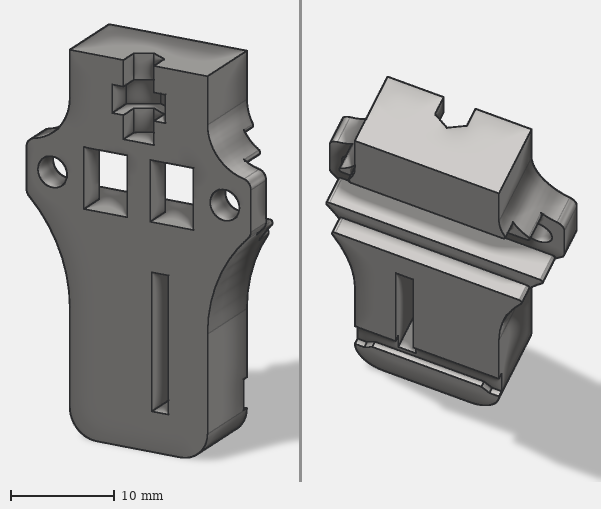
import cadquery as cq
import math

THICKNESS = 8.0
HEIGHT = 40.0
BODY_HALF_WIDTH = 7.6
EAR_HALF_WIDTH = 24.75 / 2
BOTTOM_CORNER_RADIUS = 3.0

UPPER_ARC_RADIUS = 5.0
UPPER_ARC_START_Z = 35.0
LOWER_ARC_RADIUS = 15.0
LOWER_ARC_START_Z = 13.35
EAR_CORNER_RADIUS = 1.0

SCREW_Z = 27.0
SCREW_X = 9.5
SCREW_DIAMETER = 3.2

CHANNEL_HEIGHT = 6.4
CHANNEL_FRONT_Y = 3.1
RECESS_HEIGHT = 10.15
RECESS_FRONT_Y = 6.15
CHANNEL_EDGE_RADIUS = 0.32

WINDOW_WIDTH = 4.75
WINDOW_GAP = 2.55

GROOVE_DEPTH = 0.65
GROOVE_TOP_Z = 6.2
GROOVE_BOTTOM_Z = 3.6
GROOVE_END_BOTTOM_Z = 3.0
GROOVE_END_LENGTH = 1.0
GROOVE_RAMP_LENGTH = 0.85

SLOT_CENTRE_X = 2.37
SLOT_WIDTH = 1.85
SLOT_BOTTOM_Z = 4.2
SLOT_TOP_Z = 18.6

BOLT_AXIS_Y = 1.15
BOLT_WIDTH = 3.35
BOLT_BOTTOM_Z = 31.8
NUT_WIDTH = 5.85
NUT_BOTTOM_Z = 34.3
NUT_TOP_Z = 37.25


def through_block(x_center, width, z_min, z_max, front_y=0):
    """Block from front_y to the back face."""
    size = (width, THICKNESS - front_y, z_max - z_min)
    block = cq.Workplane("XY").box(*size, centered=(True, False, False))
    return block.translate((x_center, front_y, z_min))


def arc_point(x, radius, start_z, direction):
    """Point at x on the arc tangent to the body side at start_z, heading up (+1) or down (-1)."""
    distance_to_center = BODY_HALF_WIDTH + radius - x
    return (x, start_z + direction * math.sqrt(radius**2 - distance_to_center**2))


def make_body():
    """Right half of the outline, rounded at the ear and bottom corners, then mirrored."""
    mid_x = (BODY_HALF_WIDTH + EAR_HALF_WIDTH) / 2
    lower = (LOWER_ARC_RADIUS, LOWER_ARC_START_Z, 1)
    upper = (UPPER_ARC_RADIUS, UPPER_ARC_START_Z, -1)
    half = (
        cq.Workplane("XZ")
        .lineTo(BODY_HALF_WIDTH, 0)
        .lineTo(BODY_HALF_WIDTH, LOWER_ARC_START_Z)
        .threePointArc(arc_point(mid_x, *lower), arc_point(EAR_HALF_WIDTH, *lower))
        .lineTo(*arc_point(EAR_HALF_WIDTH, *upper))
        .threePointArc(arc_point(mid_x, *upper), (BODY_HALF_WIDTH, UPPER_ARC_START_Z))
        .lineTo(BODY_HALF_WIDTH, HEIGHT)
        .lineTo(0, HEIGHT)
        .close()
        .extrude(-THICKNESS)
    )
    half = half.faces(">X").edges("|Y").fillet(EAR_CORNER_RADIUS)
    half = half.faces("<Z").edges("|Y and >X").fillet(BOTTOM_CORNER_RADIUS)
    return half.union(half.mirror("YZ"))


def cut_back_channel(body, height, front_y):
    """Cut a full-width channel behind front_y and round the edges where it leaves the sides."""
    z_min = SCREW_Z - height / 2
    z_max = SCREW_Z + height / 2
    body = body.cut(through_block(0, 2 * EAR_HALF_WIDTH, z_min, z_max, front_y))
    margin = 0.01
    for z in (z_min, z_max):
        edge_region = cq.selectors.BoxSelector(
            (-EAR_HALF_WIDTH, front_y + margin, z - margin),
            (EAR_HALF_WIDTH, THICKNESS, z + margin),
        )
        body = body.edges(edge_region).edges("|Y").fillet(CHANNEL_EDGE_RADIUS)
    return body


def make_groove():
    """Groove across the back whose floor ramps down near both sides of the body."""
    ramp_start_x = BODY_HALF_WIDTH - GROOVE_END_LENGTH
    ramp_end_x = ramp_start_x - GROOVE_RAMP_LENGTH
    half = (
        cq.Workplane("XZ", origin=(0, THICKNESS - GROOVE_DEPTH, 0))
        .moveTo(0, GROOVE_BOTTOM_Z)
        .lineTo(ramp_end_x, GROOVE_BOTTOM_Z)
        .lineTo(ramp_start_x, GROOVE_END_BOTTOM_Z)
        .lineTo(BODY_HALF_WIDTH, GROOVE_END_BOTTOM_Z)
        .lineTo(BODY_HALF_WIDTH, GROOVE_TOP_Z)
        .lineTo(0, GROOVE_TOP_Z)
        .close()
        .extrude(-GROOVE_DEPTH)
    )
    return half.union(half.mirror("YZ"))


def make_window(side):
    x_center = side * (WINDOW_GAP + WINDOW_WIDTH) / 2
    return through_block(x_center, WINDOW_WIDTH, SCREW_Z - CHANNEL_HEIGHT / 2, SCREW_Z + CHANNEL_HEIGHT / 2)


def make_screw_hole(side):
    hole = cq.Workplane("XZ").center(side * SCREW_X, SCREW_Z)
    return hole.circle(SCREW_DIAMETER / 2).extrude(-THICKNESS)


def make_hex_pocket(width, z_min, z_max):
    """Pocket open to the front: straight sides and the pointed back of a hexagon of this width."""
    half_width = width / 2
    shoulder_y = BOLT_AXIS_Y + half_width * math.tan(math.radians(30))
    apex_y = BOLT_AXIS_Y + half_width / math.cos(math.radians(30))
    return (
        cq.Workplane("XY", origin=(0, 0, z_min))
        .moveTo(-half_width, 0)
        .lineTo(half_width, 0)
        .lineTo(half_width, shoulder_y)
        .lineTo(0, apex_y)
        .lineTo(-half_width, shoulder_y)
        .close()
        .extrude(z_max - z_min)
    )


result = make_body()
result = cut_back_channel(result, CHANNEL_HEIGHT, CHANNEL_FRONT_Y)
result = cut_back_channel(result, RECESS_HEIGHT, RECESS_FRONT_Y)
result = result.cut(make_groove())
for side in (-1, 1):
    result = result.cut(make_window(side))
    result = result.cut(make_screw_hole(side))
result = result.cut(through_block(SLOT_CENTRE_X, SLOT_WIDTH, SLOT_BOTTOM_Z, SLOT_TOP_Z))
result = result.cut(make_hex_pocket(BOLT_WIDTH, BOLT_BOTTOM_Z, HEIGHT))
result = result.cut(make_hex_pocket(NUT_WIDTH, NUT_BOTTOM_Z, NUT_TOP_Z))